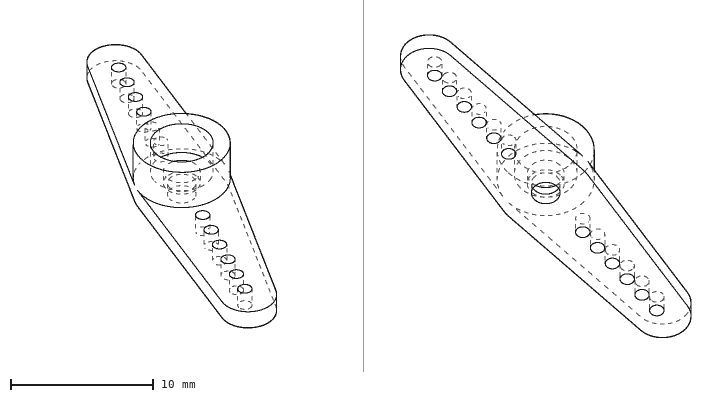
import cadquery as cq
import math

length = 32.4
height = 4.55
arm_thickness = 1.43

hub_radius = 6.8 / 2
tip_radius = 2.0
tip_center = length / 2 - tip_radius

hole_diameter = 1.0
holes_per_arm = 6
inner_hole = 4.5
outer_hole = 13.5
hole_pitch = (outer_hole - inner_hole) / (holes_per_arm - 1)

socket_diameter = 4.4
socket_floor = 2.0
recess_diameter = 2.6
recess_depth = socket_floor / 2
screw_hole_diameter = 2.0


def make_arms():
    """Double-ended tapered plate, with its underside at Z = 0."""
    slope = math.asin((hub_radius - tip_radius) / tip_center)
    hub_x = hub_radius * math.sin(slope)
    hub_y = hub_radius * math.cos(slope)
    tip_x = tip_center + tip_radius * math.sin(slope)
    tip_y = tip_radius * math.cos(slope)
    return (
        cq.Workplane("XY")
        .moveTo(hub_x, hub_y)
        .lineTo(tip_x, tip_y)
        .threePointArc((length / 2, 0), (tip_x, -tip_y))
        .lineTo(hub_x, -hub_y)
        .threePointArc((0, -hub_radius), (-hub_x, -hub_y))
        .lineTo(-tip_x, -tip_y)
        .threePointArc((-length / 2, 0), (-tip_x, tip_y))
        .lineTo(-hub_x, hub_y)
        .threePointArc((0, hub_radius), (hub_x, hub_y))
        .close()
        .extrude(arm_thickness)
    )


def make_arm_holes():
    """Cutters for the matching rows of holes in both arms."""
    points = []
    for index in range(holes_per_arm):
        x = inner_hole + index * hole_pitch
        points += [(x, 0), (-x, 0)]
    return cq.Workplane("XY").pushPoints(points).circle(hole_diameter / 2).extrude(arm_thickness)


def make_bore():
    """Cutter for the socket, the shallower recess in its floor and the through hole."""
    recess_floor = socket_floor - recess_depth
    socket = (
        cq.Workplane("XY").workplane(offset=socket_floor)
        .circle(socket_diameter / 2).extrude(height - socket_floor)
    )
    recess = (
        cq.Workplane("XY").workplane(offset=recess_floor)
        .circle(recess_diameter / 2).extrude(recess_depth)
    )
    screw_hole = cq.Workplane("XY").circle(screw_hole_diameter / 2).extrude(height)
    return socket.union(recess).union(screw_hole)


hub = cq.Workplane("XY").circle(hub_radius).extrude(height)
result = make_arms().union(hub).cut(make_arm_holes()).cut(make_bore())